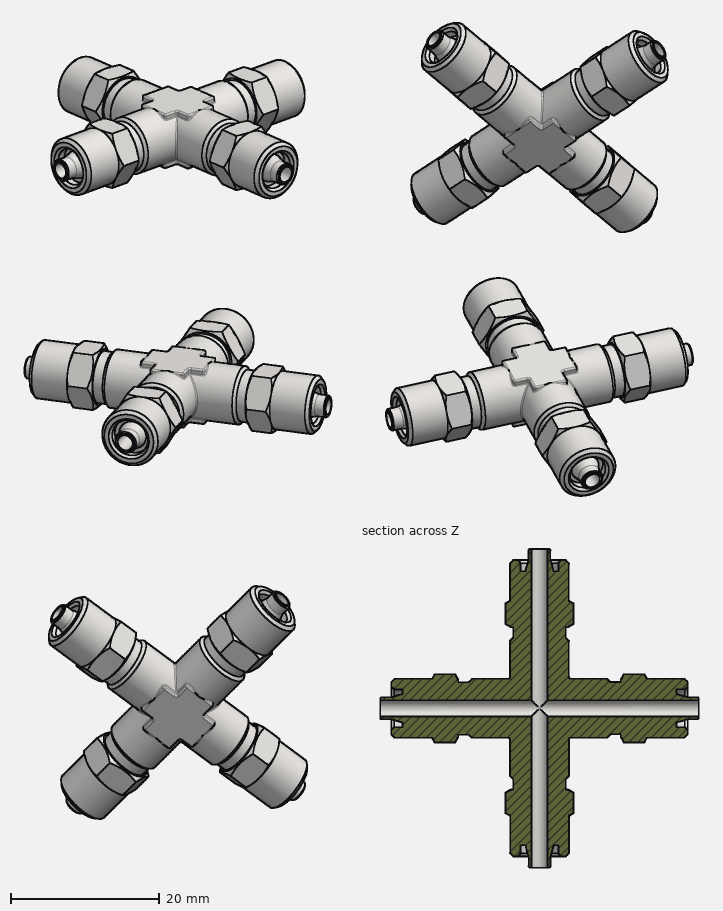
import cadquery as cq
import math

half_span = 21.5
body_radius = 4.0
bore_radius = 1.08

body_end = 9.55
hex_start = 10.92
hex_end = 14.5
socket_floor = 18.5
sleeve_end = 20.0

body_chamfer = 0.45
crotch_fillet = 0.17
neck_radius = body_radius - body_chamfer
sleeve_chamfer = 0.47
hex_corner_radius = body_radius / math.cos(math.pi / 6)
hex_bevel_slope = math.tan(math.pi / 6)
hex_inner_bevel_radius = 3.83
hex_outer_bevel_radius = body_radius

socket_radius = 2.55
socket_mouth_radius = 2.9
socket_mouth_depth = 0.45
nipple_radius = 1.5
nipple_root_radius = 1.95
nipple_tip_chamfer = 0.17

pad_length = 9.15
pad_width = 4.8
pad_rounding = 0.25
pad_foot_fillet = 0.17
foot_tolerance = 0.05


def revolve_about_x(points):
    """Solid of revolution about X from (x, radius) points."""
    return cq.Workplane("XY").polyline(points).close().revolve(360, (0, 0, 0), (1, 0, 0))


def arm_turning():
    """Body end, neck, sleeve, socket and nipple of one arm as a single turned solid."""
    return revolve_about_x([
        (body_end - body_chamfer, 0),
        (body_end - body_chamfer, body_radius),
        (body_end, neck_radius),
        (hex_end, neck_radius),
        (hex_end, body_radius),
        (sleeve_end - sleeve_chamfer, body_radius),
        (sleeve_end, body_radius - sleeve_chamfer),
        (sleeve_end, socket_mouth_radius),
        (sleeve_end - socket_mouth_depth, socket_radius),
        (socket_floor, socket_radius),
        (socket_floor, nipple_root_radius),
        (sleeve_end, nipple_radius),
        (half_span - nipple_tip_chamfer, nipple_radius),
        (half_span, nipple_radius - nipple_tip_chamfer),
        (half_span, 0),
    ])


def hex_collar():
    """Hexagon with two flats level with the body and both ends bevelled."""
    prism = (
        cq.Workplane("YZ", origin=(hex_start, 0, 0))
        .polygon(6, 2 * hex_corner_radius)
        .extrude(hex_end - hex_start)
    )
    inner_bevel = (hex_corner_radius - hex_inner_bevel_radius) * hex_bevel_slope
    outer_bevel = (hex_corner_radius - hex_outer_bevel_radius) * hex_bevel_slope
    envelope = revolve_about_x([
        (hex_start, 0),
        (hex_start, hex_inner_bevel_radius),
        (hex_start + inner_bevel, hex_corner_radius),
        (hex_end - outer_bevel, hex_corner_radius),
        (hex_end, hex_outer_bevel_radius),
        (hex_end, 0),
    ])
    return prism.intersect(envelope)


def crossed(solid):
    """Union of a solid with its own copy turned a quarter turn about Z."""
    return solid.union(solid.rotate((0, 0, 0), (0, 0, 1), 90))


def rounded_pad():
    """Plus-shaped block with its upright, top and bottom edges rounded."""
    cross = crossed(cq.Workplane("XY").box(pad_length, pad_width, 2 * body_radius))
    cross = cross.edges("|Z").fillet(pad_rounding)
    return cross.faces("|Z").edges().fillet(pad_rounding)


def body_with_pad():
    """Crossed body cylinders and pad, with the seams between them filleted."""
    cylinder = cq.Workplane("YZ").circle(body_radius).extrude(body_end - body_chamfer, both=True)
    body = crossed(cylinder).edges("not %CIRCLE").fillet(crotch_fillet)
    body = body.union(rounded_pad())

    foot_height = math.sqrt(body_radius**2 - (pad_width / 2) ** 2)
    for height in (-foot_height, foot_height):
        foot_zone = cq.selectors.BoxSelector(
            (-pad_length, -pad_length, height - foot_tolerance),
            (pad_length, pad_length, height + foot_tolerance),
        )
        straight = cq.selectors.StringSyntaxSelector("|X or |Y")
        body = body.edges(cq.selectors.AndSelector(straight, foot_zone)).fillet(pad_foot_fillet)
    return body


arm = arm_turning().union(hex_collar())
result = body_with_pad()
for quarter in range(4):
    result = result.union(arm.rotate((0, 0, 0), (0, 0, 1), 90 * quarter))

for plane in ("YZ", "XZ"):
    result = result.cut(cq.Workplane(plane).circle(bore_radius).extrude(half_span, both=True))